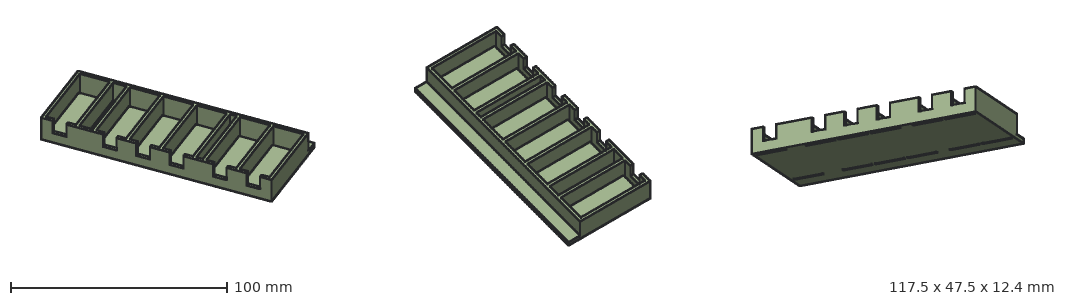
import cadquery as cq

length = 117.5
depth = 47.45
base_thickness = 2.4
tray_height = 10.0

wall = 1.8
pocket_width = 15.2
pocket_depth = 37.2
tray_depth = pocket_depth + 2 * wall
wide_spacer = 6.8
pockets_per_tray = (1, 3, 2)

notch_width = 7.0
notch_height = 7.0
rear_slot = 1.1
front_slot = 0.8

top = base_thickness + tray_height


def tray_length(pockets):
    """Length of a tray with a wall on each side of every pocket."""
    return pockets * (pocket_width + wall) + wall


narrow_spacer = length - wide_spacer - sum(tray_length(n) for n in pockets_per_tray)
spacers = (wide_spacer, narrow_spacer)


def block(x, y, z, dx, dy, dz):
    """Box given by its left, front, bottom corner and its sizes."""
    return cq.Workplane("XY").box(dx, dy, dz, centered=False).translate((x, y, z))


def cut_spacer(body, x, width):
    """Plain well between two trays, open at the top."""
    return body.cut(block(x, wall, base_thickness, width, pocket_depth, tray_height))


def cut_pocket(body, x):
    """Pocket with a front notch and a floor slot along each end."""
    body = body.cut(block(x, wall, base_thickness, pocket_width, pocket_depth, tray_height))
    notch_x = x + (pocket_width - notch_width) / 2
    body = body.cut(block(notch_x, 0, top - notch_height, notch_width, wall, notch_height))
    body = body.cut(block(x, wall, 0, pocket_width, front_slot, base_thickness))
    rear_slot_y = wall + pocket_depth - rear_slot
    return body.cut(block(x, rear_slot_y, 0, pocket_width, rear_slot, base_thickness))


result = block(0, 0, 0, length, depth, base_thickness)
result = result.union(block(0, 0, base_thickness, length, tray_depth, tray_height))

tray_x = 0
for index, pockets in enumerate(pockets_per_tray):
    for pocket in range(pockets):
        result = cut_pocket(result, tray_x + wall + pocket * (pocket_width + wall))
    tray_x += tray_length(pockets)
    if index < len(spacers):
        result = cut_spacer(result, tray_x, spacers[index])
        tray_x += spacers[index]